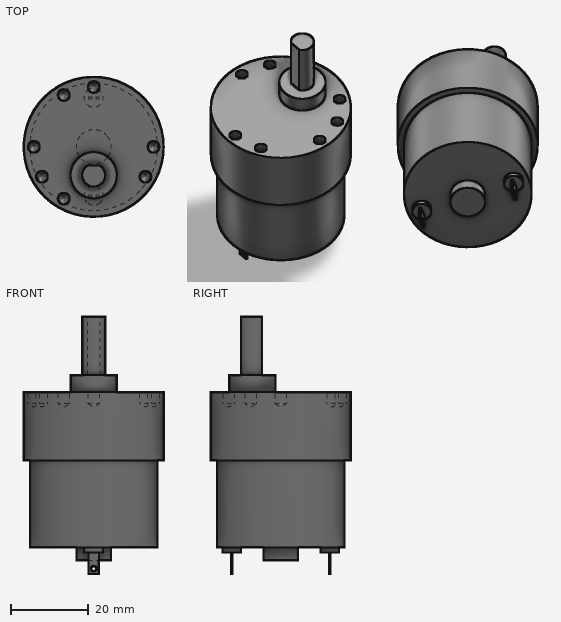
import cadquery as cq
import math


gearbox_diameter = 36.32
gearbox_height = 17.7
motor_diameter = 33.1
motor_height = 22.5
motor_bottom_z = -(gearbox_height + motor_height)

output_offset = 7.35
boss_diameter = 12.0
boss_height = 4.4
shaft_diameter = 6.0
shaft_length = 15.18
shaft_flat_distance = 2.5

hole_diameter = 3.0
hole_depth = 3.0
hole_tip_angle = 118.0
hole_circle_radius = 15.5
hole_angles = (0, 90, 120, 180, 210, 240, 330)

cap_diameter = 9.0
cap_height = 3.4

terminal_offset = 12.7
insulator_diameter = 4.9
insulator_height = 1.4
tab_width = 2.7
tab_thickness = 0.5
tab_reach = 6.95
tab_hole_diameter = 1.3
tab_hole_drop = 5.55


def cylinder(diameter, height, bottom_z, y=0.0):
    """Vertical cylinder standing on bottom_z."""
    return cq.Workplane("XY", origin=(0, y, bottom_z)).circle(diameter / 2).extrude(height)


def make_shaft():
    """Output shaft with a flat along its whole exposed length."""
    round_shaft = cylinder(shaft_diameter, shaft_length, boss_height, -output_offset)
    flat_cutter = (
        cq.Workplane("XY", origin=(0, shaft_flat_distance - output_offset, boss_height))
        .rect(shaft_diameter, shaft_diameter)
        .extrude(shaft_length)
        .translate((0, shaft_diameter / 2, 0))
    )
    return round_shaft.cut(flat_cutter)


def make_mounting_hole(angle):
    """Drilled hole volume, revolved about its axis and placed on the hole circle."""
    radius = hole_diameter / 2
    tip_height = radius / math.tan(math.radians(hole_tip_angle / 2))
    x = hole_circle_radius * math.cos(math.radians(angle))
    y = hole_circle_radius * math.sin(math.radians(angle))
    return (
        cq.Workplane("XZ")
        .polyline([(0, 0), (radius, 0), (radius, -hole_depth), (0, -hole_depth - tip_height)])
        .close()
        .revolve(360, (0, 0, 0), (0, 1, 0))
        .translate((x, y, 0))
    )


def make_terminal(y):
    """Insulator and solder tab hanging below the motor at the given Y."""
    insulator = cylinder(insulator_diameter, insulator_height, motor_bottom_z - insulator_height, y)
    tab = (
        cq.Workplane("XY", origin=(0, y, motor_bottom_z))
        .rect(tab_width, tab_thickness)
        .extrude(-tab_reach)
    )
    tab_hole = (
        cq.Workplane("XZ", origin=(0, y, motor_bottom_z - tab_hole_drop))
        .circle(tab_hole_diameter / 2)
        .extrude(tab_thickness, both=True)
    )
    return insulator.union(tab.cut(tab_hole))


result = cylinder(gearbox_diameter, gearbox_height, -gearbox_height)
result = result.union(cylinder(motor_diameter, motor_height, motor_bottom_z))
result = result.union(cylinder(boss_diameter, boss_height, 0, -output_offset))
result = result.union(make_shaft())
result = result.union(cylinder(cap_diameter, cap_height, motor_bottom_z - cap_height))

for terminal_y in (-terminal_offset, terminal_offset):
    result = result.union(make_terminal(terminal_y))

for hole_angle in hole_angles:
    result = result.cut(make_mounting_hole(hole_angle))